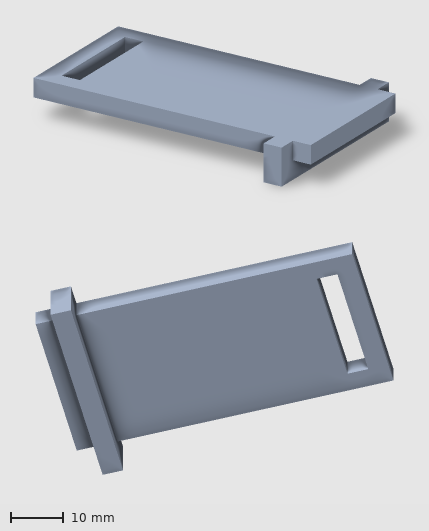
import cadquery as cq

plate_length = 62.0
plate_width = 30.0

bar_width = 38.0
bar_height = 8.0
plate_thickness = bar_height / 2
bar_thickness = plate_thickness
bar_end_gap = plate_thickness

slot_length = 22.5
slot_width = 4.1
slot_end_gap = 3.9


def block(x_start, length, width, height):
    """Box centred on Y, starting at x_start and reaching down from Z = 0."""
    return (
        cq.Workplane("XY")
        .box(length, width, height, centered=(False, True, False))
        .translate((x_start, 0, -height))
    )


plate = block(0, plate_length, plate_width, plate_thickness)
slot = block(slot_end_gap, slot_width, slot_length, plate_thickness)

bar_start = plate_length - bar_end_gap - bar_thickness
bar = block(bar_start, bar_thickness, bar_width, bar_height)

result = plate.cut(slot).union(bar)